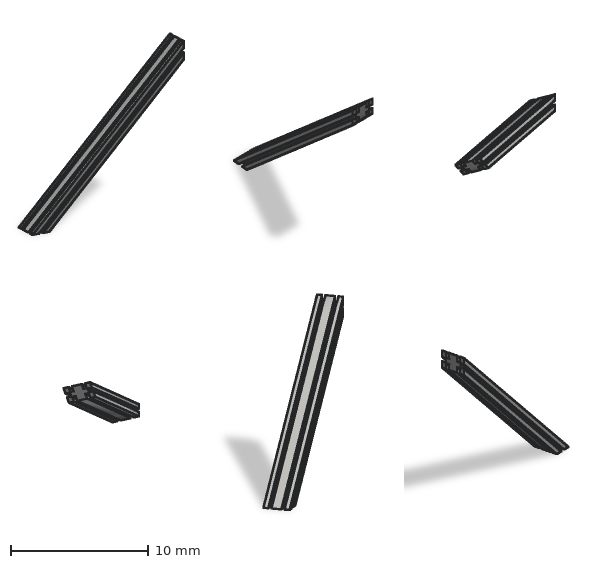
import cadquery as cq
import math

span = 12.73
width = 2.0
thickness = width / 2
slot_width = 0.25
slot_depth = 0.33

slot_offset = width / 4
middle_depth = thickness / 2


def sloping_bar(x_center, x_size, depth_center, depth_size):
    """Bar at 45 degrees between the floor Z = 0 and the wall Y = span.

    Depths are measured square to the upper sloping face, into the bar.
    """
    upper = math.sqrt(2) * (depth_center - depth_size / 2)
    lower = math.sqrt(2) * (depth_center + depth_size / 2)
    outline = [
        (upper, 0),
        (lower, 0),
        (span, span - lower),
        (span, span - upper),
    ]
    profile = cq.Workplane("YZ").workplane(offset=x_center - x_size / 2)
    return profile.polyline(outline).close().extrude(x_size)


result = sloping_bar(0, width, middle_depth, thickness)

for side in (-1, 1):
    for face_depth in (0, thickness):
        result = result.cut(sloping_bar(side * slot_offset, slot_width, face_depth, 2 * slot_depth))

for side in (-1, 1):
    result = result.cut(sloping_bar(side * width / 2, 2 * slot_depth, middle_depth, slot_width))